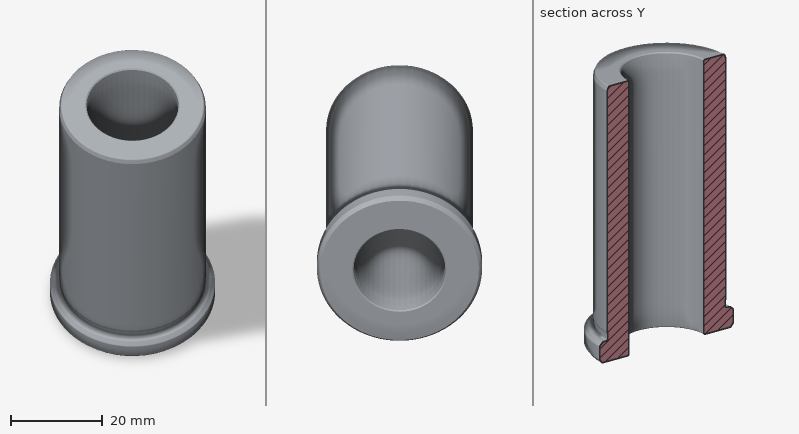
import cadquery as cq

total_height = 65.0
flange_radius = 36.0 / 2
body_radius = 32.0 / 2
neck_radius = 31.7 / 2
bore_radius = 20.0 / 2

flange_height = 5.0
flange_chamfer = 0.9
flange_face_round = 0.45
bottom_chamfer_height = 1.0
bottom_chamfer_depth = 0.7
flange_corner_round = 0.3

neck_root_round = 0.4
neck_top = 6.5
body_bottom = 7.15

lead_in_height = 1.05
lead_in_depth = 0.45
lead_in_round = 0.4

bore_chamfer = 0.25

flange_face_radius = flange_radius - flange_chamfer
bottom_face_radius = flange_radius - bottom_chamfer_depth
lead_in_radius = body_radius - lead_in_depth
bore_rim_radius = bore_radius + bore_chamfer

pick_margin = 0.005


def make_sleeve():
    """Revolve the sharp-cornered wall section around the Z axis."""
    section = [
        (bore_rim_radius, 0),
        (bottom_face_radius, 0),
        (flange_radius, bottom_chamfer_height),
        (flange_radius, flange_height - flange_chamfer),
        (flange_face_radius, flange_height),
        (neck_radius, flange_height),
        (neck_radius, neck_top),
        (body_radius, body_bottom),
        (body_radius, total_height - lead_in_height),
        (lead_in_radius, total_height),
        (bore_rim_radius, total_height),
        (bore_radius, total_height - bore_chamfer),
        (bore_radius, bore_chamfer),
    ]
    return cq.Workplane("XZ").polyline(section).close().revolve(360, (0, 0), (0, 1))


def round_corner(sleeve, corner_radius, height, round_radius):
    """Fillet the circular edge found at the given radius and height."""

    def is_corner(edge):
        at_height = abs(edge.Center().z - height) < pick_margin
        return at_height and abs(edge.radius() - corner_radius) < pick_margin

    return sleeve.edges("%CIRCLE").filter(is_corner).fillet(round_radius)


sleeve = make_sleeve()

for height in (bottom_chamfer_height, flange_height - flange_chamfer):
    sleeve = round_corner(sleeve, flange_radius, height, flange_corner_round)
sleeve = round_corner(sleeve, flange_face_radius, flange_height, flange_face_round)

sleeve = round_corner(sleeve, neck_radius, flange_height, neck_root_round)
sleeve = round_corner(sleeve, lead_in_radius, total_height, lead_in_round)

result = sleeve